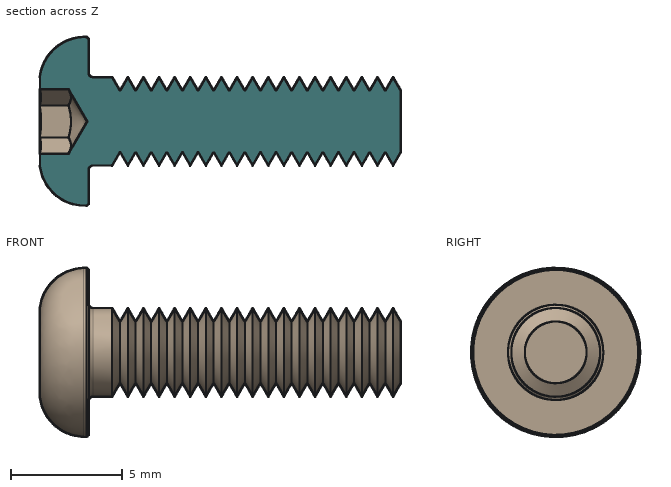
import cadquery as cq
import math

LENGTH = 16.2

HEAD_DIAMETER = 7.6
HEAD_HEIGHT = 2.2
CROWN_FLAT_DIAMETER = 4.0
CROWN_HEIGHT = 1.96
CROWN_RADIUS = 2.05
RIM_CHAMFER = 0.1

THREAD_DIAMETER = 3.99
THREAD_START = 3.25
GROOVE_COUNT = 18
GROOVE_ANGLE = 60.0
NECK_LENGTH = 0.2
NECK_FLARE = 0.15

SOCKET_WIDTH = 2.5
SOCKET_DEPTH = 1.3
SOCKET_CONE_ANGLE = 120.0
COUNTERSINK_ANGLE = 140.0

head_radius = HEAD_DIAMETER / 2
crown_flat_radius = CROWN_FLAT_DIAMETER / 2
thread_radius = THREAD_DIAMETER / 2
half_pitch = (LENGTH - THREAD_START) / (2 * GROOVE_COUNT + 1)
thread_pitch = 2 * half_pitch
groove_depth = half_pitch / math.tan(math.radians(GROOVE_ANGLE / 2))
root_radius = thread_radius - groove_depth
neck_radius = (NECK_LENGTH**2 + NECK_FLARE**2) / (2 * NECK_FLARE)
socket_corner_radius = SOCKET_WIDTH / math.sqrt(3)


def arc_middle(start, end, radius):
    """Middle of the shorter arc from start to end, bulging to the left of that direction."""
    dx = end[0] - start[0]
    dy = end[1] - start[1]
    chord = math.hypot(dx, dy)
    rise = radius - math.sqrt(radius**2 - (chord / 2) ** 2)
    middle_x = (start[0] + end[0]) / 2 - dy / chord * rise
    middle_y = (start[1] + end[1]) / 2 + dx / chord * rise
    return middle_x, middle_y


def make_screw_body():
    """Head, neck and ring-grooved shank, revolved about the X axis."""
    crown_start = (0, crown_flat_radius)
    crown_end = (CROWN_HEIGHT, head_radius)
    neck_start = (HEAD_HEIGHT, thread_radius + NECK_FLARE)
    neck_end = (HEAD_HEIGHT + NECK_LENGTH, thread_radius)

    profile = (
        cq.Workplane("XY")
        .lineTo(*crown_start)
        .threePointArc(arc_middle(crown_start, crown_end, CROWN_RADIUS), crown_end)
        .lineTo(HEAD_HEIGHT - RIM_CHAMFER, head_radius)
        .lineTo(HEAD_HEIGHT, head_radius - RIM_CHAMFER)
        .lineTo(*neck_start)
        .threePointArc(arc_middle(neck_end, neck_start, neck_radius), neck_end)
        .lineTo(THREAD_START, thread_radius)
    )
    for groove in range(GROOVE_COUNT):
        crest = THREAD_START + groove * thread_pitch
        profile = profile.lineTo(crest + half_pitch, root_radius)
        profile = profile.lineTo(crest + thread_pitch, thread_radius)
    profile = profile.lineTo(LENGTH, root_radius).lineTo(LENGTH, 0).close()
    return profile.revolve(360, (0, 0, 0), (1, 0, 0))


def make_cone(base_x, base_radius, included_angle):
    """Solid cone on the X axis, narrowing toward +X."""
    height = base_radius / math.tan(math.radians(included_angle / 2))
    return cq.Workplane(cq.Solid.makeCone(
        base_radius, 0, height, cq.Vector(base_x, 0, 0), cq.Vector(1, 0, 0)
    ))


def make_socket():
    """Hexagon with corners on the Y axis, a conical bottom and a countersunk mouth."""
    cone_height = socket_corner_radius / math.tan(math.radians(SOCKET_CONE_ANGLE / 2))
    hexagon = (
        cq.Workplane("YZ")
        .polygon(6, 2 * socket_corner_radius)
        .extrude(SOCKET_DEPTH + cone_height)
    )
    bore = cq.Workplane("YZ").circle(socket_corner_radius).extrude(SOCKET_DEPTH)
    drill = bore.union(make_cone(SOCKET_DEPTH, socket_corner_radius, SOCKET_CONE_ANGLE))
    countersink = make_cone(0, socket_corner_radius, COUNTERSINK_ANGLE)
    return hexagon.intersect(drill).union(countersink)


result = make_screw_body().cut(make_socket())